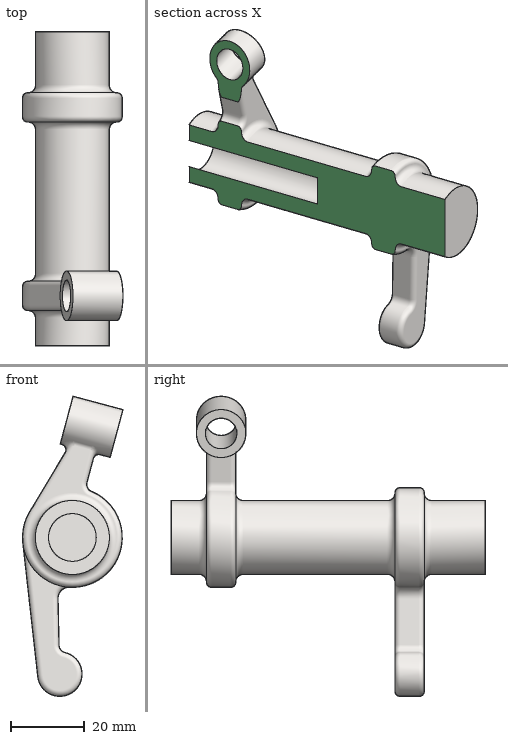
import cadquery as cq
import math

shaft_length = 85.0
shaft_radius = 10.0
bore_radius = 6.5
bore_depth = 42.5

plate_thickness = 8.0
hub_radius = 13.5
plate_edge_fillet = 1.45
hub_blend_radius = 1.95
upper_lever_y = -29.0
lower_lever_y = 22.0

tilt = 15.0
tube_axial_shift = -2.7
tube_distance = 30.3
tube_length = 14.0
tube_radius = 6.7
tube_bore_radius = 4.25
tube_blend_radius = 1.45
upper_corner_radius = 2.0
upper_outer_edge_angle = 59.0
tolerance = 0.01

finger_x = -3.4
finger_z = -37.0
finger_radius = 6.0
inner_edge_top_x = -4.0
inner_edge_bottom_x = -3.4
finger_corner_radius = 2.0
lower_hub_corner_radius = 3.0


def polar(radius, angle):
    """XZ point at an angle in radians from +X toward +Z."""
    return (radius * math.cos(angle), radius * math.sin(angle))


def xz_plane(y):
    """Sketch plane with local axes X and Z, extruding toward -Y."""
    return cq.Workplane("XZ", origin=(0, y, 0))


def disc(y, radius, x=0.0, z=0.0):
    return xz_plane(y).center(x, z).circle(radius).extrude(plate_thickness / 2, both=True)


def plate(y, points):
    return xz_plane(y).polyline(points).close().extrude(plate_thickness / 2, both=True)


def fillet_corner(body, near_point, radius):
    """Round the through-thickness edge nearest to the given point."""
    return body.edges("|Y").edges(cq.selectors.NearestToPointSelector(near_point)).fillet(radius)


def round_faces(body):
    return body.faces("<Y or >Y").edges().fillet(plate_edge_fillet)


def hub_blends(y):
    """Concave rings joining both hub faces to the shaft."""
    foot = shaft_radius
    rim = shaft_radius + hub_blend_radius
    mid = hub_blend_radius * (1 - math.sqrt(0.5))
    rings = None
    for side in (-1, 1):
        face = y + side * plate_thickness / 2
        ring = (
            cq.Workplane("XY")
            .moveTo(bore_radius, y)
            .lineTo(rim, y)
            .lineTo(rim, face)
            .threePointArc((foot + mid, face + side * mid), (foot, face + side * hub_blend_radius))
            .lineTo(bore_radius, face + side * hub_blend_radius)
            .close()
            .revolve(360, (0, 0, 0), (0, 1, 0))
        )
        rings = ring if rings is None else rings.union(ring)
    return rings


def tube_cylinder(radius):
    axis = cq.Vector(math.cos(math.radians(tilt)), 0, -math.sin(math.radians(tilt)))
    across = cq.Vector(math.sin(math.radians(tilt)), 0, math.cos(math.radians(tilt)))
    start = across * tube_distance + axis * (tube_axial_shift - tube_length / 2)
    start += cq.Vector(0, upper_lever_y, 0)
    return cq.Workplane(cq.Solid.makeCylinder(radius, tube_length, start, axis))


def height_above_tube_axis(point):
    """Distance from the tube axis, measured away from the shaft."""
    arm_angle = math.radians(90 - tilt)
    return point.x * math.cos(arm_angle) + point.z * math.sin(arm_angle) - tube_distance


def is_tube_joint(edge):
    """True for the edges where the arm meets the shaft-side half of the tube."""
    for point in (edge.startPoint(), edge.endPoint(), edge.Center()):
        if height_above_tube_axis(point) > -tube_radius / 2:
            return False
    for end in (edge.startPoint(), edge.endPoint()):
        radius = math.hypot(height_above_tube_axis(end), end.y - upper_lever_y)
        if abs(radius - tube_radius) > tolerance:
            return False
    return True


def upper_lever():
    y = upper_lever_y
    arm_angle = math.radians(90 - tilt)
    outer_angle = math.radians(upper_outer_edge_angle)
    tangent = polar(hub_radius, outer_angle + math.pi / 2)
    inner_end = polar(tube_distance, arm_angle)
    run = tube_distance - hub_radius * math.cos(outer_angle + math.pi / 2 - arm_angle)
    step = polar(run / math.cos(arm_angle - outer_angle), outer_angle)
    outer_end = (tangent[0] + step[0], tangent[1] + step[1])
    body = disc(y, hub_radius).union(plate(y, [(0, 0), inner_end, outer_end, tangent]))
    corner = polar(hub_radius, arm_angle)
    body = fillet_corner(body, (corner[0], y, corner[1]), upper_corner_radius)
    body = round_faces(body).union(tube_cylinder(tube_radius))
    joint = [edge for edge in body.edges().vals() if is_tube_joint(edge)]
    return body.newObject(joint).fillet(tube_blend_radius)


def lower_lever():
    y = lower_lever_y
    distance = math.hypot(finger_x, finger_z)
    normal = math.atan2(finger_z, finger_x) - math.acos((hub_radius - finger_radius) / distance)
    hub_tangent = polar(hub_radius, normal)
    offset = polar(finger_radius, normal)
    finger_tangent = (finger_x + offset[0], finger_z + offset[1])
    outline = [
        (0, 0),
        hub_tangent,
        finger_tangent,
        (inner_edge_bottom_x, finger_z),
        (inner_edge_top_x, -shaft_radius),
    ]
    body = disc(y, hub_radius).union(plate(y, outline))
    body = body.union(disc(y, finger_radius, finger_x, finger_z))
    hub_corner = (inner_edge_top_x, y, -hub_radius)
    finger_corner = (inner_edge_bottom_x, y, finger_z + finger_radius)
    body = fillet_corner(body, hub_corner, lower_hub_corner_radius)
    body = fillet_corner(body, finger_corner, finger_corner_radius)
    return round_faces(body)


shaft = xz_plane(0).circle(shaft_radius).extrude(shaft_length / 2, both=True)
bore = xz_plane(bore_depth - shaft_length / 2).circle(bore_radius).extrude(bore_depth)

body = shaft.union(upper_lever()).union(lower_lever())
for lever_y in (upper_lever_y, lower_lever_y):
    body = body.union(hub_blends(lever_y))

result = body.cut(bore).cut(tube_cylinder(tube_bore_radius))